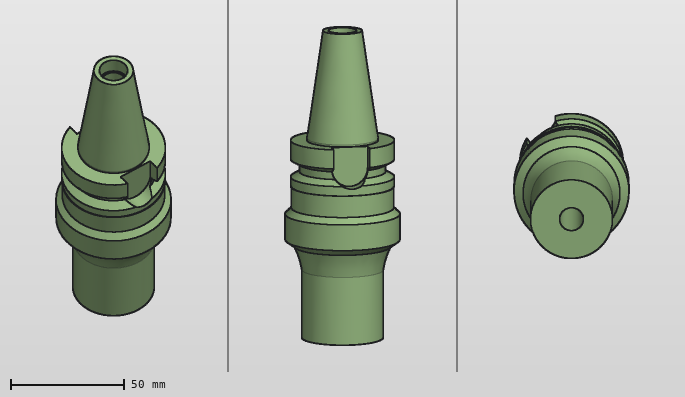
import cadquery as cq

total_height = 138.4

shank_radius = 18.1
shank_top = 30.7
flare_mid_radius = 19.2
flare_mid_height = 35.7
flare_top_radius = 21.5
flare_top = 41.2

collar_radius = 25.5
collar_bottom = 44.1
collar_top = 55.8

body_radius = 22.7
body_bottom = 58.5
body_top = 68.2

flange_radius = 23.0
groove_radius = 19.1
groove_lower_edge = 72.5
groove_floor_bottom = 74.9
groove_floor_top = 78.3
groove_upper_edge = 80.4
flange_top = 89.0

taper_base_radius = 15.8
taper_land_height = 1.0
taper_base = flange_top + taper_land_height
taper_ratio = 7 / 24
taper_tip_radius = taper_base_radius - (total_height - taper_base) * taper_ratio / 2

bore_radius = 5.3
counterbore_radius = 6.2
counterbore_depth = 6.9

slot_width = 16.2
slot_floor_distance = 16.3
slot_bottom = 71.3
slot_arc_height = slot_bottom + slot_width / 2


def turned_body():
    """Revolve the half profile (radius, height) about Z."""
    profile = (
        cq.Workplane("XZ")
        .lineTo(shank_radius, 0)
        .lineTo(shank_radius, shank_top)
        .threePointArc((flare_mid_radius, flare_mid_height), (flare_top_radius, flare_top))
        .lineTo(collar_radius, collar_bottom)
        .lineTo(collar_radius, collar_top)
        .lineTo(body_radius, body_bottom)
        .lineTo(body_radius, body_top)
        .lineTo(flange_radius, body_top)
        .lineTo(flange_radius, groove_lower_edge)
        .lineTo(groove_radius, groove_floor_bottom)
        .lineTo(groove_radius, groove_floor_top)
        .lineTo(flange_radius, groove_upper_edge)
        .lineTo(flange_radius, flange_top)
        .lineTo(taper_base_radius, flange_top)
        .lineTo(taper_base_radius, taper_base)
        .lineTo(taper_tip_radius, total_height)
        .lineTo(0, total_height)
        .close()
    )
    return profile.revolve(360, (0, 0, 0), (0, 1, 0))


def drive_slot(side):
    """Cutter for the slot on the +X (side = 1) or -X (side = -1) flank."""
    half_width = slot_width / 2
    return (
        cq.Workplane("YZ", origin=(side * slot_floor_distance, 0, 0))
        .moveTo(-half_width, flange_top)
        .lineTo(-half_width, slot_arc_height)
        .threePointArc((0, slot_bottom), (half_width, slot_arc_height))
        .lineTo(half_width, flange_top)
        .close()
        .extrude(side * (collar_radius - slot_floor_distance))
    )


result = turned_body()
for side in (-1, 1):
    result = result.cut(drive_slot(side))

result = (
    result.faces(">Z")
    .workplane(origin=(0, 0, total_height))
    .cboreHole(2 * bore_radius, 2 * counterbore_radius, counterbore_depth)
)